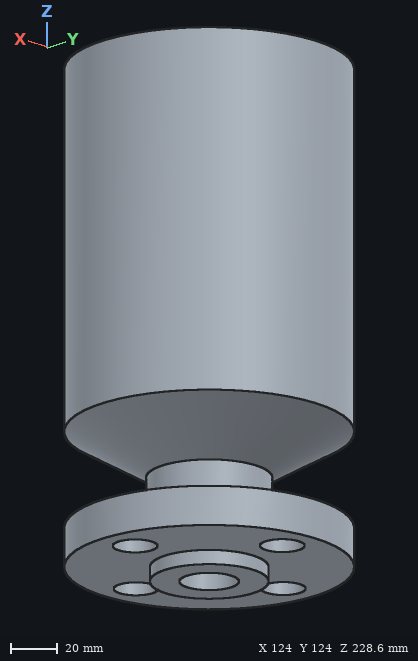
import cadquery as cq

flange_diameter = 123.95
flange_thickness = 17.5
raised_face_diameter = 50.8
raised_face_height = 6.35

bolt_hole_count = 4
bolt_hole_diameter = 19.05
bolt_circle_diameter = 88.9

neck_diameter = 54.0
neck_length = 22.4
body_diameter = flange_diameter
cone_height = 20.5
overall_height = 228.6
bore_diameter = 25.4

flange_bottom = raised_face_height
flange_top = flange_bottom + flange_thickness
cone_bottom = flange_top + neck_length
cone_top = cone_bottom + cone_height


def turned_body():
    """Revolve the outside profile, from the raised face up to the top of the body."""
    profile = (
        cq.Workplane("XZ")
        .moveTo(0, 0)
        .lineTo(raised_face_diameter / 2, 0)
        .lineTo(raised_face_diameter / 2, flange_bottom)
        .lineTo(flange_diameter / 2, flange_bottom)
        .lineTo(flange_diameter / 2, flange_top)
        .lineTo(neck_diameter / 2, flange_top)
        .lineTo(neck_diameter / 2, cone_bottom)
        .lineTo(body_diameter / 2, cone_top)
        .lineTo(body_diameter / 2, overall_height)
        .lineTo(0, overall_height)
        .close()
    )
    return profile.revolve(360, (0, 0, 0), (0, 1, 0))


def bore():
    """Straight bore through the full height."""
    return cq.Workplane("XY").circle(bore_diameter / 2).extrude(overall_height)


def bolt_holes():
    """Bolt holes on the X and Y axes, through the flange only."""
    return (
        cq.Workplane("XY", origin=(0, 0, flange_bottom))
        .polarArray(bolt_circle_diameter / 2, 0, 360, bolt_hole_count)
        .circle(bolt_hole_diameter / 2)
        .extrude(flange_thickness)
    )


result = turned_body().cut(bore()).cut(bolt_holes())